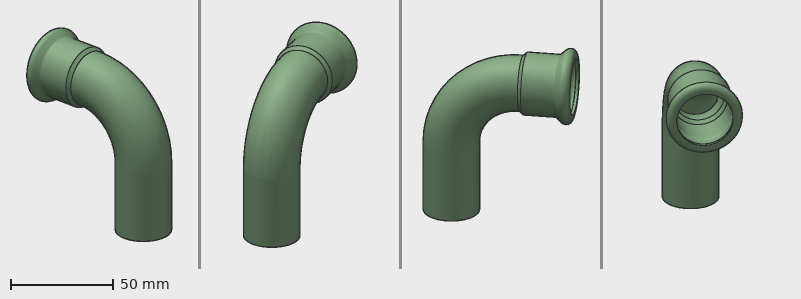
import cadquery as cq
import math

length_x = 74.9
height_z = 89.85
tube_radius = 13.9
wall = 1.6
bend_radius = 34.1

bead_radius = 18.8
bead_tip_radius = 3.0
socket_radius = 15.5
throat_fillet = 1.9
throat_end = 8.45
taper_start = 24.2
taper_end = 26.1
shoulder_angle = math.radians(45)

axis_z = height_z - bead_radius
spigot_x = length_x - tube_radius
bend_start_x = spigot_x - bend_radius
spigot_length = axis_z - bend_radius

bead_center_r = bead_radius - bead_tip_radius
mouth_radius = socket_radius - wall


def bead_and_socket_profile(inset):
    """Half profile of the socket from bead to bend, offset inward by the inset."""
    tip = bead_tip_radius - inset
    fillet = throat_fillet + inset
    straight_r = socket_radius - inset
    end_r = tube_radius - inset
    fillet_center_r = straight_r + fillet
    bead_middle = (math.pi + shoulder_angle) / 2
    taper_angle = math.atan2(socket_radius - tube_radius, taper_end - taper_start)
    shift = inset * math.tan(taper_angle / 2)

    def on_bead(angle):
        return (bead_tip_radius + tip * math.cos(angle), bead_center_r + tip * math.sin(angle))

    def on_throat(angle):
        return (throat_end - fillet * math.sin(angle), fillet_center_r - fillet * math.cos(angle))

    return (
        cq.Workplane("XY")
        .moveTo(inset, mouth_radius)
        .lineTo(inset, bead_center_r)
        .threePointArc(on_bead(bead_middle), on_bead(shoulder_angle))
        .lineTo(*on_throat(shoulder_angle))
        .threePointArc(on_throat(shoulder_angle / 2), (throat_end, straight_r))
        .lineTo(taper_start - shift, straight_r)
        .lineTo(taper_end - shift, end_r)
        .lineTo(bend_start_x, end_r)
        .lineTo(bend_start_x, 0)
        .lineTo(inset, 0)
        .close()
    )


def socket_solid(inset):
    turned = bead_and_socket_profile(inset).revolve(360, (0, 0, 0), (1, 0, 0))
    return turned.translate((0, 0, axis_z))


def elbow_solid(radius):
    """Vertical spigot and quarter bend meeting the end of the socket."""
    spigot = cq.Workplane("XY").center(spigot_x, 0).circle(radius).extrude(spigot_length)
    bend = (
        cq.Workplane("XY", origin=(spigot_x, 0, spigot_length))
        .circle(radius)
        .revolve(90, (-bend_radius, 0, 0), (-bend_radius, -1, 0))
    )
    return spigot.union(bend)


outer = socket_solid(0).union(elbow_solid(tube_radius))
cavity = socket_solid(wall).union(elbow_solid(tube_radius - wall))
mouth = cq.Workplane("YZ", origin=(0, 0, axis_z)).circle(mouth_radius).extrude(bead_tip_radius)

result = outer.cut(cavity).cut(mouth)